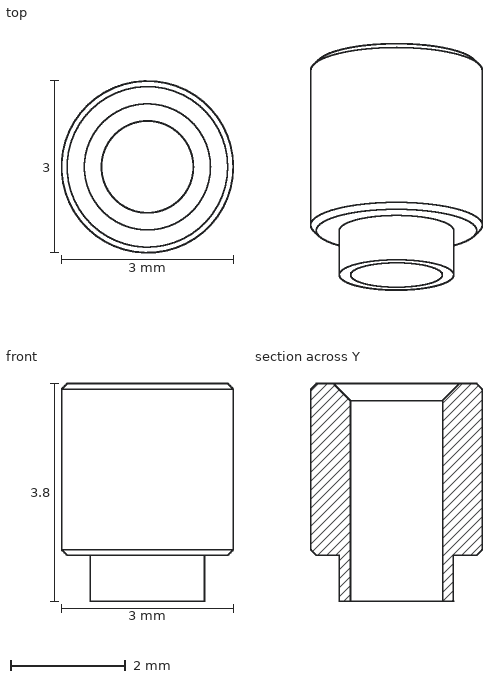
import cadquery as cq

total_height = 3.8
body_diameter = 3.0
body_height = 3.0
spigot_diameter = 2.0
bore_diameter = 1.6
edge_chamfer = 0.1
mouth_chamfer = 0.3

spigot_height = total_height - body_height

spigot = cq.Workplane("XY").circle(spigot_diameter / 2).extrude(spigot_height)

body = (
    cq.Workplane("XY")
    .workplane(offset=spigot_height)
    .circle(body_diameter / 2)
    .extrude(body_height)
    .edges()
    .chamfer(edge_chamfer)
)

bore = cq.Workplane("XY").circle(bore_diameter / 2).extrude(total_height)
sleeve = body.union(spigot).cut(bore)

bore_mouth = cq.selectors.RadiusNthSelector(0)
result = sleeve.faces(">Z").edges(bore_mouth).chamfer(mouth_chamfer)